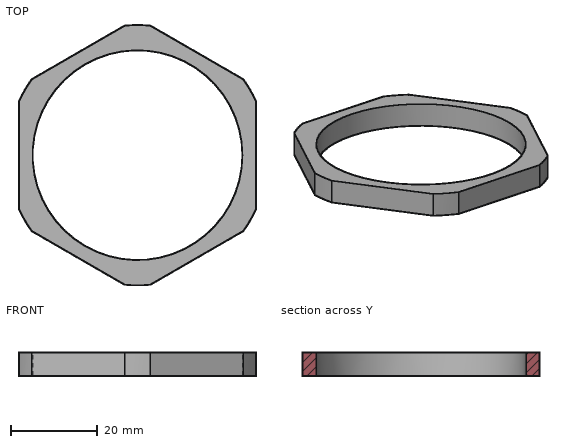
import cadquery as cq
import math

across_flats = 55.0
corner_diameter = 60.4
bore_diameter = 48.55
thickness = 5.5

across_corners = across_flats / math.cos(math.pi / 6)
hexagon = (
    cq.Workplane("XY")
    .polygon(6, across_corners)
    .extrude(thickness)
    .rotate((0, 0, 0), (0, 0, 1), 30)
)

ring = (
    cq.Workplane("XY")
    .circle(corner_diameter / 2)
    .circle(bore_diameter / 2)
    .extrude(thickness)
)

result = hexagon.intersect(ring)